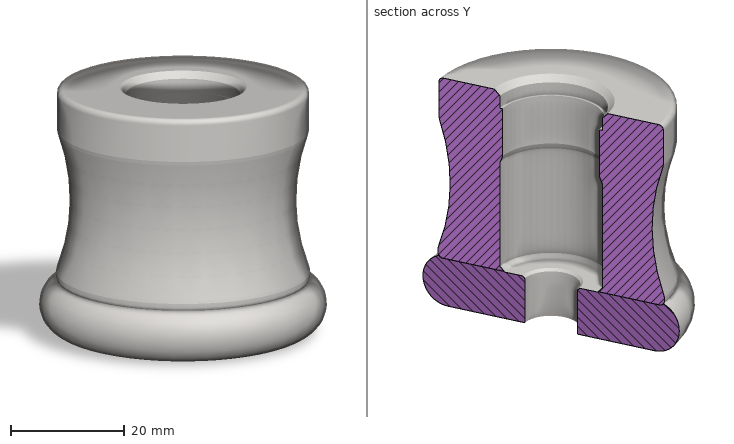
import cadquery as cq

height = 44.45
foot_radius = 25.4

rim_round = 5.0
rim_center_radius = foot_radius - rim_round
foot_hole_radius = 5.2
foot_hole_chamfer = 0.45

seat_z = 9.15
base_radius = 22.45
base_fillet = 1.0
lip_radius = 22.25
lip_bottom_z = 36.8
lip_fillet = 1.0
waist_radius = 20.0
waist_bottom_z = 11.45
waist_top_z = 36.05
waist_mid_z = (waist_bottom_z + waist_top_z) / 2
base_top_z = 10.85
waist_end_inset = 0.15

mouth_radius = 11.25
mouth_chamfer = 1.15
counterbore_radius = mouth_radius - mouth_chamfer
counterbore_depth = 3.5
bore_radius = 9.55
bore_depth = 12.85
relief_length = 1.15
floor_radius = 9.2
floor_chamfer = counterbore_radius - floor_radius


def make_housing():
    """Waisted housing with a stepped bore, made as one revolved profile."""
    bore_end_z = height - bore_depth
    profile = (
        cq.Workplane("XZ")
        .moveTo(floor_radius, seat_z)
        .lineTo(base_radius - base_fillet, seat_z)
        .radiusArc((base_radius, seat_z + base_fillet), -base_fillet)
        .lineTo(base_radius, base_top_z)
        .lineTo(base_radius - waist_end_inset, waist_bottom_z)
        .threePointArc((waist_radius, waist_mid_z), (lip_radius - waist_end_inset, waist_top_z))
        .lineTo(lip_radius, lip_bottom_z)
        .lineTo(lip_radius, height - lip_fillet)
        .radiusArc((lip_radius - lip_fillet, height), -lip_fillet)
        .lineTo(mouth_radius, height)
        .lineTo(counterbore_radius, height - mouth_chamfer)
        .lineTo(counterbore_radius, height - counterbore_depth)
        .lineTo(bore_radius, height - counterbore_depth)
        .lineTo(bore_radius, bore_end_z)
        .lineTo(counterbore_radius, bore_end_z - relief_length)
        .lineTo(counterbore_radius, seat_z + floor_chamfer)
        .close()
    )
    return profile.revolve(360, (0, 0, 0), (0, 1, 0))


def make_foot(housing):
    """Round-rimmed foot with a chamfered hole and a seat shaped to the housing."""
    profile = (
        cq.Workplane("XZ")
        .moveTo(foot_hole_radius, 0)
        .lineTo(rim_center_radius, 0)
        .threePointArc((foot_radius, rim_round), (rim_center_radius, 2 * rim_round))
        .lineTo(rim_center_radius, seat_z)
        .lineTo(foot_hole_radius + foot_hole_chamfer, seat_z)
        .lineTo(foot_hole_radius, seat_z - foot_hole_chamfer)
        .close()
    )
    return profile.revolve(360, (0, 0, 0), (0, 1, 0)).cut(housing)


housing = make_housing()
foot = make_foot(housing)

result = cq.Compound.makeCompound([housing.val(), *foot.solids().vals()])